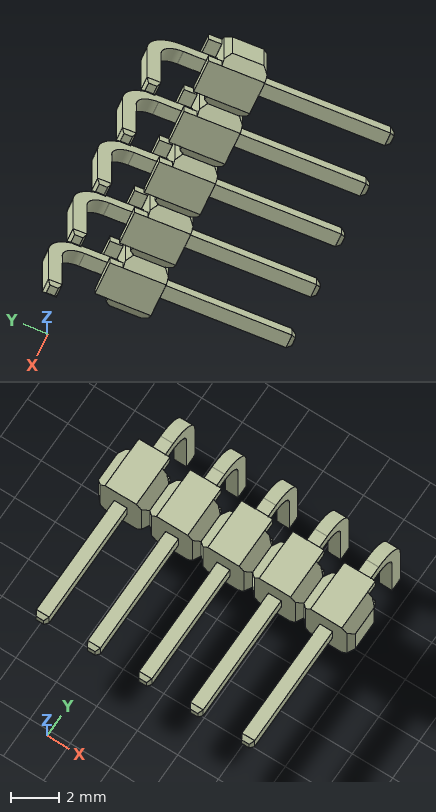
import cadquery as cq

pin_count = 5
row_length = 12.7
pitch = row_length / pin_count

block_height = 2.54
block_depth = 2.54
foot_length = 0.6
long_edge_chamfer = 0.5
side_edge_chamfer = 0.25
body_depth = block_depth - foot_length
foot_width = pitch - 2 * long_edge_chamfer
foot_gap = block_height - 2 * long_edge_chamfer

pin_size = 0.64
bend_inner_radius = 1.0
bend_outer_radius = bend_inner_radius + pin_size
front_length = 6.1
total_depth = 11.21
total_height = 5.54
tip_length = 0.22
tip_inset = 0.13
tip_size = pin_size - 2 * tip_inset

pin_rear = total_depth - front_length
pin_top = pin_size / 2
pin_bottom = block_height / 2 - total_height
shank_front = tip_length - front_length
shank_bottom = pin_bottom + tip_length
bend_centre_y = pin_rear - bend_outer_radius
bend_centre_z = pin_top - bend_outer_radius


def make_block():
    """Chamfered block with an upper and a lower foot at its rear."""
    body = (
        cq.Workplane("XY")
        .box(pitch, body_depth, block_height, centered=(True, False, True))
        .edges("|Y")
        .chamfer(long_edge_chamfer)
        .faces("<X or >X")
        .edges("|Z")
        .chamfer(side_edge_chamfer)
    )
    feet = (
        cq.Workplane("XY")
        .box(foot_width, block_depth, block_height, centered=(True, False, True))
        .cut(
            cq.Workplane("XY", origin=(0, body_depth, 0))
            .box(foot_width, foot_length, foot_gap, centered=(True, False, True))
        )
    )
    return body.union(feet)


def make_tip(origin, direction):
    """Tapered pin end that starts at origin and narrows along direction."""
    plane = cq.Plane(origin=origin, xDir=(1, 0, 0), normal=direction)
    return (
        cq.Workplane(plane)
        .rect(pin_size, pin_size)
        .workplane(offset=tip_length)
        .rect(tip_size, tip_size)
        .loft(ruled=True)
    )


def make_pin():
    """Square pin with a rounded right-angle bend and two tapered tips."""
    shank = (
        cq.Workplane("YZ")
        .moveTo(shank_front, pin_top)
        .lineTo(bend_centre_y, pin_top)
        .radiusArc((pin_rear, bend_centre_z), bend_outer_radius)
        .lineTo(pin_rear, shank_bottom)
        .lineTo(pin_rear - pin_size, shank_bottom)
        .lineTo(pin_rear - pin_size, bend_centre_z)
        .radiusArc((bend_centre_y, pin_top - pin_size), -bend_inner_radius)
        .lineTo(shank_front, pin_top - pin_size)
        .close()
        .extrude(pin_size / 2, both=True)
    )
    front_tip = make_tip((0, shank_front, 0), (0, -1, 0))
    lower_tip = make_tip((0, pin_rear - pin_size / 2, shank_bottom), (0, 0, -1))
    return shank.union(front_tip).union(lower_tip)


header_position = make_block().union(make_pin())
first_x = (pitch - row_length) / 2
header_positions = [
    header_position.val().translate(cq.Vector(first_x + index * pitch, 0, 0))
    for index in range(pin_count)
]

result = cq.Compound.makeCompound(header_positions)